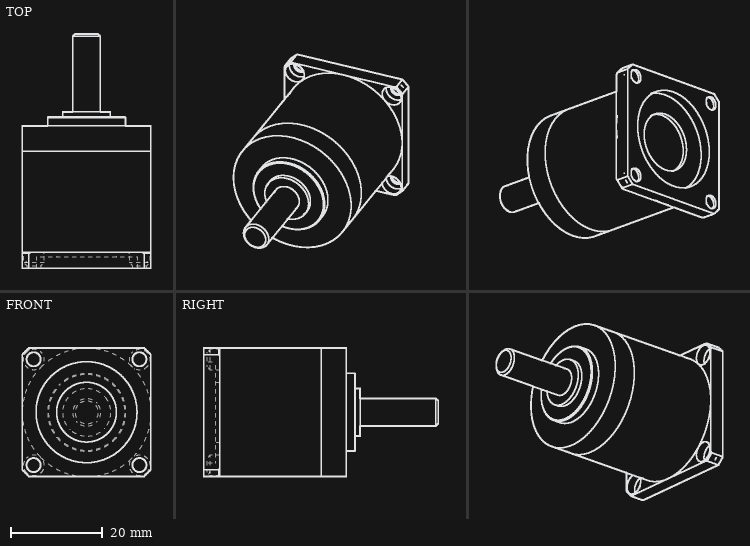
import cadquery as cq

flange_size = 28.0
flange_thickness = 3.5
corner_chamfer = 1.5
back_corner_chamfer = 0.25
pilot_diameter = 22.0
pilot_depth = 2.5
bore_diameter = 13.0

bolt_spacing = 23.0
bolt_hole_diameter = 3.0
bolt_head_diameter = 4.5
bolt_lip_thickness = 0.6
bolt_cone_depth = (bolt_head_diameter - bolt_hole_diameter) / 2

ring_diameter = flange_size
ring_length = 22.0

total_length = 51.0
cover_diameter = ring_diameter
cover_length = 5.5
boss_diameter = 17.0
boss_length = 2.0
boss_chamfer = 0.2
collar_diameter = 10.4
collar_length = 1.0
shaft_diameter = 6.0
shaft_chamfer = 0.5

ring_back = flange_thickness + ring_length
cover_back = ring_back + cover_length
boss_back = cover_back + boss_length
collar_back = boss_back + collar_length
shaft_length = total_length - collar_back


def section_at(y):
    """Workplane across the axis at station y, extruding toward the shaft tip."""
    return cq.Workplane(cq.Plane(origin=(0, y, 0), xDir=(1, 0, 0), normal=(0, 1, 0)))


def disc(diameter, y, length):
    """Round section on the axis from station y over the given length."""
    return section_at(y).circle(diameter / 2).extrude(length)


def bolt_hole_cutter():
    """Stepped hole on the Y axis: straight lip, 45 degree cone, then the bolt head clearance."""
    hole_radius = bolt_hole_diameter / 2
    head_radius = bolt_head_diameter / 2
    return (
        cq.Workplane("XY")
        .moveTo(0, 0)
        .lineTo(hole_radius, 0)
        .lineTo(hole_radius, bolt_lip_thickness)
        .lineTo(head_radius, bolt_lip_thickness + bolt_cone_depth)
        .lineTo(head_radius, flange_thickness)
        .lineTo(0, flange_thickness)
        .close()
        .revolve(360, (0, 0, 0), (0, 1, 0))
    )


def make_flange():
    """Square plate with clipped corners, a stepped central bore and four bolt holes."""
    plate = section_at(0).rect(flange_size, flange_size).extrude(flange_thickness)
    plate = plate.edges("|Y").chamfer(corner_chamfer)
    plate = plate.cut(disc(pilot_diameter, 0, pilot_depth))
    plate = plate.cut(disc(bore_diameter, 0, flange_thickness))

    corner_middle = (flange_size - corner_chamfer) / 2
    bolt_offset = bolt_spacing / 2
    for x_side in (-1, 1):
        for z_side in (-1, 1):
            edge_middle = (x_side * corner_middle, flange_thickness, z_side * corner_middle)
            back_edge = cq.selectors.NearestToPointSelector(edge_middle)
            plate = plate.edges(back_edge).chamfer(back_corner_chamfer)
            hole_place = (x_side * bolt_offset, 0, z_side * bolt_offset)
            plate = plate.cut(bolt_hole_cutter().translate(hole_place))
    return plate


def make_gear_ring():
    """Plain cylinder that closes the flange bore from behind."""
    return disc(ring_diameter, flange_thickness, ring_length)


def make_output_unit():
    """Cover stepping down through the bearing boss and collar to the shaft."""
    cover = disc(cover_diameter, ring_back, cover_length)
    boss = disc(boss_diameter, cover_back, boss_length).faces(">Y").chamfer(boss_chamfer)
    collar = disc(collar_diameter, boss_back, collar_length)
    shaft = disc(shaft_diameter, collar_back, shaft_length).faces(">Y").chamfer(shaft_chamfer)
    return cover.union(boss).union(collar).union(shaft)


flange = make_flange()
gear_ring = make_gear_ring()
output_unit = make_output_unit()

result = cq.Compound.makeCompound([flange.val(), gear_ring.val(), output_unit.val()])